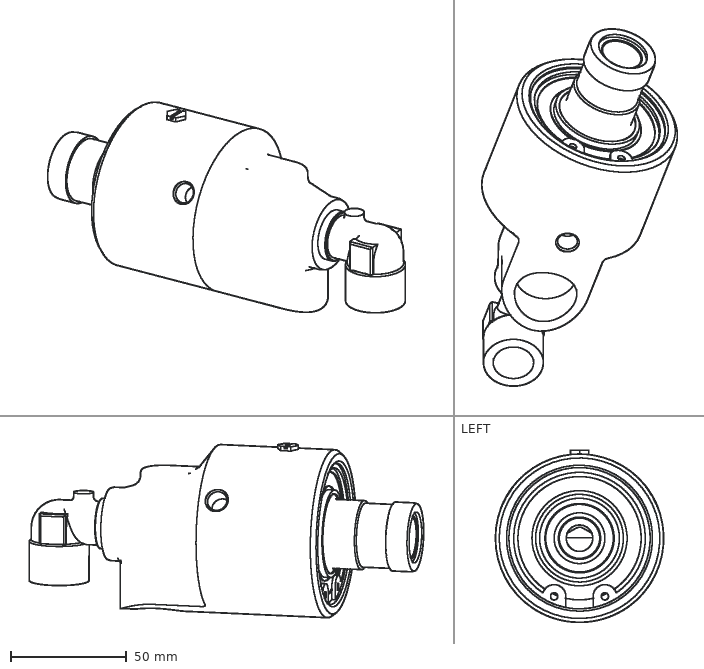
import cadquery as cq
import math


shaft_dia = 30.0
shaft_tip_dia = 29.3
shaft_tip_length = 1.6
waist_dia = 27.83
waist_start = 9.5
waist_end = 22.8
waist_taper = 0.6
shaft_fillet = 1.7
hub_dia = 38.0
hub_face_x = 36.9
hub_groove_dia = 34.6
hub_groove_depth = 0.6

bore_dia = 17.5
bore_mouth_dia = 22.0
bore_mouth_depth = 1.5
bore_chamfer = 0.4
bore_end_x = 120.0
feed_bore_dia = 11.45

body_dia = 72.92
body_face_x = 35.5
body_chamfer_length = 2.1
body_chamfer_height = 1.7
body_end_x = 88.7
neck_dia = 39.2
neck_cone_end_x = 102.2
neck_blend_length = 2.7
neck_end_x = 118.3
neck_end_blend = 0.7
collar_dia = 32.0
collar_start_x = 130.7
collar_end_x = 136.6
collar_chamfer_length = 1.4
collar_chamfer_height = 0.4
spigot_dia = 22.0
spigot_end_x = 140.6
spigot_chamfer = 0.4

recess_dia = 61.2
recess_mouth_chamfer = 1.0
ring_seat_x = 38.9
recess_floor_dia = 53.4
recess_floor_x = 39.4
seal_seat_dia = 41.2
seal_seat_depth = 0.4
ring_inner_dia = 57.0
ring_thickness = 1.5
ring_gap = 12.0
ring_ear_radius = 5.1
ring_ear_y = 11.0
ring_ear_z = -25.2
ring_hole_dia = 3.12

port_x = 112.35
foot_width = 38.0
foot_fillet = 2.6
foot_overlap = 5.0
foot_port_dia = 27.0
foot_port_depth = 16.0
pad_width = 20.4
pad_top_z = 25.4
pad_rim_fillet = 2.0
pad_base_fillet = 5.6

side_hole_x = 80.7
side_hole_angles = (30.0, 150.0, 270.0)
side_hole_dia = 8.6
side_hole_mouth_dia = 10.1
side_hole_depth = 10.0
vent_x = 56.9
vent_top_z = 38.13
vent_flats = 8.0
vent_slot_width = 1.2
vent_slot_depth = 1.0
vent_root_depth = 2.0

barrel_dia = 19.0
outlet_dia = 26.0
outlet_x = 172.18 - outlet_dia / 2
outlet_top_z = -7.9
outlet_bottom_z = -25.9
outlet_chamfer = 0.8
outlet_bore_dia = 17.48
drill_point_angle = 118.0
drill_point_z = 0.15
feed_bore_end_x = outlet_x + 1.0
ball_dia = 24.4
ball_z = (barrel_dia - ball_dia) / 2
flat_length = 11.8
flat_span = 24.6
flat_top_z = 5.1
flat_chamfer = 0.8
nipple_x = 148.3
nipple_dia = 8.6
nipple_top_z = 13.4
nipple_fillet = 2.1


def cylinder_x(start, end, diameter):
    return cq.Workplane("YZ", origin=(start, 0, 0)).circle(diameter / 2).extrude(end - start)


def cylinder_z(x, bottom, top, diameter):
    return cq.Workplane("XY", origin=(x, 0, bottom)).circle(diameter / 2).extrude(top - bottom)


def turned(profile):
    """Revolve a closed profile of (x, radius) about the shaft axis."""
    return profile.close().revolve(360, (0, 0, 0), (1, 0, 0))


def make_housing():
    body_radius = body_dia / 2
    neck_radius = neck_dia / 2
    cone_slope = (body_radius - neck_radius) / (neck_cone_end_x - body_end_x)
    cone_angle = math.atan(cone_slope)
    blend_start = (
        neck_cone_end_x - neck_blend_length * math.cos(cone_angle),
        neck_radius + neck_blend_length * math.sin(cone_angle),
    )
    taper_slope = (neck_radius - collar_dia / 2) / (collar_start_x - neck_end_x)
    taper_start = (neck_end_x + neck_end_blend, neck_radius - neck_end_blend * taper_slope)
    profile = (
        cq.Workplane("XY")
        .moveTo(body_face_x, 0)
        .lineTo(body_face_x, body_radius - body_chamfer_height)
        .lineTo(body_face_x + body_chamfer_length, body_radius)
        .lineTo(body_end_x, body_radius)
        .lineTo(*blend_start)
        .tangentArcPoint((neck_cone_end_x + neck_blend_length, neck_radius), relative=False)
        .lineTo(neck_end_x - neck_end_blend, neck_radius)
        .tangentArcPoint(taper_start, relative=False)
        .lineTo(collar_start_x, collar_dia / 2)
        .lineTo(collar_end_x - collar_chamfer_length, collar_dia / 2)
        .lineTo(collar_end_x, collar_dia / 2 - collar_chamfer_height)
        .lineTo(collar_end_x, 0)
    )
    return turned(profile)


def slot_block(start_x, width, bottom, height):
    """Upright block with straight sides and an end rounded about the port axis."""
    half = width / 2
    return (
        cq.Workplane("XY", origin=(0, 0, bottom))
        .moveTo(start_x, -half)
        .lineTo(port_x, -half)
        .threePointArc((port_x + half, 0), (port_x, half))
        .lineTo(start_x, half)
        .close()
        .extrude(height)
    )


def add_pad(housing):
    """Raised flat on top of the neck, blended into the neck and the cone."""
    pad = slot_block(body_end_x, pad_width, 0, pad_top_z)
    pad = pad.faces(">Z").edges("not <X").fillet(pad_rim_fillet)
    joined = housing.union(pad)
    crest = cq.selectors.BoxSelector(
        (body_end_x, -pad_width, pad_top_z - pad_rim_fillet), (port_x, pad_width, body_dia / 2)
    )
    return joined.edges(crest).edges("%HYPERBOLA").fillet(pad_base_fillet)


def add_foot(housing):
    """Lower port block whose underside continues the body cylinder, with a blind port."""
    radius = body_dia / 2
    foot = slot_block(body_end_x - foot_overlap, foot_width, -radius, radius)
    foot = foot.intersect(cylinder_x(body_face_x, spigot_end_x, body_dia))
    joined = housing.union(foot)
    cone_joints = cq.selectors.BoxSelector((body_end_x, -radius, -radius), (neck_cone_end_x, radius, 0))
    joined = joined.edges(cone_joints).edges("%HYPERBOLA").fillet(foot_fillet)
    return joined.cut(cylinder_z(port_x, -radius, foot_port_depth - radius, foot_port_dia))


def make_recess():
    """Stepped opening in the front face: chamfered mouth, ring seat, floor and seal seat."""
    mouth_radius = recess_dia / 2 + recess_mouth_chamfer
    seal_seat_x = recess_floor_x + seal_seat_depth
    profile = (
        cq.Workplane("XY")
        .moveTo(body_face_x, 0)
        .lineTo(body_face_x, mouth_radius)
        .lineTo(body_face_x + recess_mouth_chamfer, recess_dia / 2)
        .lineTo(ring_seat_x, recess_dia / 2)
        .lineTo(ring_seat_x, recess_floor_dia / 2)
        .lineTo(recess_floor_x, recess_floor_dia / 2)
        .lineTo(recess_floor_x, seal_seat_dia / 2)
        .lineTo(seal_seat_x, seal_seat_dia / 2)
        .lineTo(seal_seat_x, 0)
    )
    return turned(profile)


def make_retaining_ring():
    """Internal snap ring with two drilled ears either side of its gap."""
    start = ring_seat_x - ring_thickness
    recess = cylinder_x(start, ring_seat_x, recess_dia)
    ring = recess.cut(cylinder_x(start, ring_seat_x, ring_inner_dia))
    plane = cq.Workplane("YZ", origin=(start, 0, 0))
    ear_centres = [(-ring_ear_y, ring_ear_z), (ring_ear_y, ring_ear_z)]
    ears = plane.pushPoints(ear_centres).circle(ring_ear_radius).extrude(ring_thickness)
    skirts = (
        plane.pushPoints([(y, ring_ear_z - ring_ear_radius) for y, _ in ear_centres])
        .rect(2 * ring_ear_radius, 2 * ring_ear_radius)
        .extrude(ring_thickness)
    )
    gap = plane.center(0, -recess_dia / 2).rect(ring_gap, recess_dia / 2).extrude(ring_thickness)
    holes = plane.pushPoints(ear_centres).circle(ring_hole_dia / 2).extrude(ring_thickness)
    return ring.union(ears.union(skirts).intersect(recess)).cut(gap).cut(holes)


def make_shaft():
    """Rotor shaft with its waist, and the hub it flares into inside the recess."""
    radius = shaft_dia / 2
    groove_radius = hub_groove_dia / 2
    groove_x = hub_face_x + hub_groove_depth
    hub_root_x = recess_floor_x + 2 * seal_seat_depth
    profile = (
        cq.Workplane("XY")
        .lineTo(0, shaft_tip_dia / 2)
        .lineTo(shaft_tip_length, radius)
        .lineTo(waist_start, radius)
        .lineTo(waist_start, waist_dia / 2)
        .lineTo(waist_end, waist_dia / 2)
        .lineTo(waist_end + waist_taper, radius)
        .lineTo(groove_x - shaft_fillet, radius)
        .tangentArcPoint((groove_x, radius + shaft_fillet), relative=False)
        .lineTo(groove_x, groove_radius)
        .lineTo(hub_face_x, groove_radius)
        .lineTo(hub_face_x, hub_dia / 2)
        .lineTo(hub_root_x, hub_dia / 2)
        .lineTo(hub_root_x, 0)
    )
    return turned(profile)


def make_bore():
    """Shaft bore with its stepped mouth, then the feed bore running on into the elbow."""
    profile = (
        cq.Workplane("XY")
        .lineTo(0, bore_mouth_dia / 2)
        .lineTo(bore_mouth_depth, bore_mouth_dia / 2)
        .lineTo(bore_mouth_depth, bore_dia / 2 + bore_chamfer)
        .lineTo(bore_mouth_depth + bore_chamfer, bore_dia / 2)
        .lineTo(bore_end_x, bore_dia / 2)
        .lineTo(bore_end_x, feed_bore_dia / 2)
        .lineTo(feed_bore_end_x, feed_bore_dia / 2)
        .lineTo(feed_bore_end_x, 0)
    )
    return turned(profile)


def make_side_hole(angle):
    """Blind radial hole with a countersunk mouth, turned from +Y towards +Z."""
    radius = body_dia / 2
    countersink = (side_hole_mouth_dia - side_hole_dia) / 2
    mouth_y = math.sqrt(radius**2 - (side_hole_mouth_dia / 2) ** 2)
    hole = (
        cq.Workplane("XY")
        .moveTo(0, radius - side_hole_depth)
        .lineTo(side_hole_dia / 2, radius - side_hole_depth)
        .lineTo(side_hole_dia / 2, mouth_y - countersink)
        .lineTo(side_hole_mouth_dia / 2, mouth_y)
        .lineTo(side_hole_mouth_dia / 2, radius)
        .lineTo(0, radius)
        .close()
        .revolve(360, (0, 0, 0), (0, 1, 0))
    )
    return hole.rotate((0, 0, 0), (1, 0, 0), angle).translate((side_hole_x, 0, 0))


def make_vent_screw():
    """Hexagon head, corners along X, slotted along Y."""
    across_corners = vent_flats / math.cos(math.pi / 6)
    root_z = body_dia / 2 - vent_root_depth
    head = (
        cq.Workplane("XY", origin=(vent_x, 0, root_z))
        .polygon(6, across_corners)
        .extrude(vent_top_z - root_z)
    )
    slot = (
        cq.Workplane("XY", origin=(vent_x, 0, vent_top_z - vent_slot_depth))
        .rect(vent_slot_width, across_corners)
        .extrude(vent_slot_depth)
    )
    return head.cut(slot)


def make_elbow():
    spigot = cylinder_x(collar_start_x, spigot_end_x, spigot_dia).faces(">X").chamfer(spigot_chamfer)
    barrel = cylinder_x(collar_end_x, outlet_x, barrel_dia)
    nipple = cylinder_z(nipple_x, 0, nipple_top_z, nipple_dia)
    nipple_foot = cq.selectors.BoxSelector(
        (nipple_x - nipple_dia, -nipple_dia, 0), (nipple_x + nipple_dia, nipple_dia, barrel_dia / 2)
    )
    barrel = barrel.union(nipple).edges(nipple_foot).fillet(nipple_fillet)
    ball = cq.Workplane("XY").sphere(ball_dia / 2).translate((outlet_x, 0, ball_z))
    knuckle = cylinder_z(outlet_x, outlet_top_z, ball_z, ball_dia)
    outlet = cylinder_z(outlet_x, outlet_bottom_z, outlet_top_z, outlet_dia)
    outlet = outlet.faces(">Z").chamfer(outlet_chamfer)
    flats = (
        cq.Workplane("XY", origin=(outlet_x, 0, outlet_top_z))
        .rect(flat_length, flat_span)
        .extrude(flat_top_z - outlet_top_z)
        .faces("<Y or >Y")
        .edges("not <Z")
        .chamfer(flat_chamfer)
    )
    return barrel.union(spigot).union(ball).union(knuckle).union(outlet).union(flats)


def make_outlet_bore():
    """Bore rising to the shaft axis and ending in a drill point."""
    radius = outlet_bore_dia / 2
    point_height = radius / math.tan(math.radians(drill_point_angle / 2))
    profile = (
        cq.Workplane("XZ")
        .moveTo(0, outlet_bottom_z)
        .lineTo(radius, outlet_bottom_z)
        .lineTo(radius, drill_point_z)
        .lineTo(0, drill_point_z + point_height)
        .close()
    )
    return profile.revolve(360, (0, 0, 0), (0, 1, 0)).translate((outlet_x, 0, 0))


housing = add_foot(add_pad(make_housing()))
housing = housing.cut(make_recess()).union(make_retaining_ring()).union(make_vent_screw())
for side_hole_angle in side_hole_angles:
    housing = housing.cut(make_side_hole(side_hole_angle))

result = housing.union(make_shaft()).union(make_elbow()).cut(make_bore()).cut(make_outlet_bore())